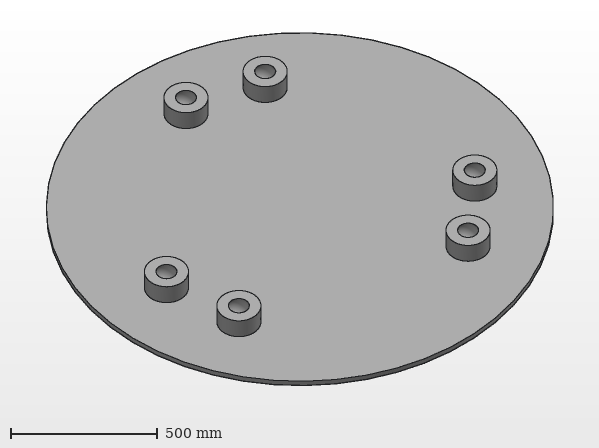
import cadquery as cq
import math

plate_diameter = 1730.0
plate_thickness = 20.0
overall_height = 95.0

boss_diameter = 150.0
boss_height = overall_height - plate_thickness
pair_count = 3
boss_circle_radius = 605.0
pair_spacing = 300.0
first_pair_angle = 28.0

socket_mouth_diameter = 71.0
socket_radius = 40.0
socket_centre_depth = math.sqrt(socket_radius**2 - (socket_mouth_diameter / 2) ** 2)


def boss_centres():
    """Centres of all the bosses, pair by pair."""
    half_angle = math.degrees(math.asin(pair_spacing / 2 / boss_circle_radius))
    centres = []
    for pair in range(pair_count):
        pair_angle = first_pair_angle + pair * 360 / pair_count
        for offset in (-half_angle, half_angle):
            angle = math.radians(pair_angle + offset)
            centres.append((boss_circle_radius * math.cos(angle), boss_circle_radius * math.sin(angle)))
    return centres


centres = boss_centres()

plate = cq.Workplane("XY").circle(plate_diameter / 2).extrude(plate_thickness)

bosses = (
    cq.Workplane("XY", origin=(0, 0, plate_thickness))
    .pushPoints(centres)
    .circle(boss_diameter / 2)
    .extrude(boss_height)
)

sockets = (
    cq.Workplane("XY", origin=(0, 0, overall_height - socket_centre_depth))
    .pushPoints(centres)
    .sphere(socket_radius)
)

result = plate.union(bosses).cut(sockets)